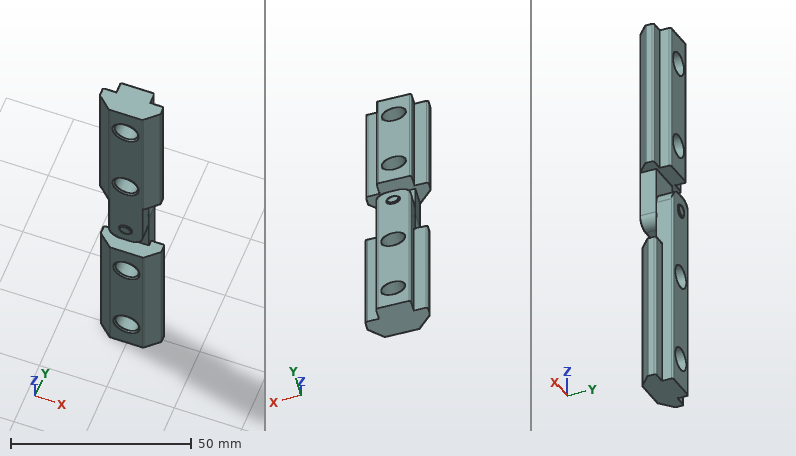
import cadquery as cq

OVERALL_LENGTH = 115.4
BAR_LENGTH = 45.2
END_REACH = OVERALL_LENGTH / 2
BAR_START = END_REACH - BAR_LENGTH

FLANGE_WIDTH = 18.0
STEM_WIDTH = 10.0
NOSE_WIDTH = 9.9
SECTION_DEPTH = 9.5
FLANK_DEPTH = 3.6
SHOULDER_DEPTH = 6.1
EDGE_RADIUS = 0.6

KNUCKLE_THICKNESS = 5.1
KNUCKLE_REACH = 5.1
KNUCKLE_RADIUS = 3.6
UPPER_FRONT_Y = -KNUCKLE_THICKNESS
LOWER_FRONT_Y = KNUCKLE_THICKNESS - SECTION_DEPTH

HOLE_RADIUS = 3.5
HOLE_CHAMFER = 0.5
HOLE_SPACING = 27.0
HOLE_END_MARGIN = 9.1
OUTER_HOLE_REACH = END_REACH - HOLE_END_MARGIN
HOLE_REACHES = (OUTER_HOLE_REACH - HOLE_SPACING, OUTER_HOLE_REACH)

PIN_LENGTH = 10.8
PIN_RADIUS = 2.0
PIN_CHAMFER = PIN_LENGTH / 2 - KNUCKLE_THICKNESS


def y_cylinder(radius, y_start, length, z):
    """Cylinder along +Y, centred on X = 0 at height z."""
    return cq.Workplane(cq.Solid.makeCylinder(radius, length, cq.Vector(0, y_start, z), cq.Vector(0, 1, 0)))


def section_bar(front_y, z_start):
    """Leaf section with its front face at front_y, from z_start up to the leaf end."""
    height = END_REACH - z_start
    edge_x = FLANGE_WIDTH / 2
    shoulder_y = front_y + SHOULDER_DEPTH
    right_half = [
        (NOSE_WIDTH / 2, front_y),
        (edge_x, front_y + FLANK_DEPTH),
        (edge_x, shoulder_y),
    ]
    left_half = [(-x, y) for x, y in reversed(right_half)]
    flanges = (
        cq.Workplane("XY")
        .polyline(right_half + left_half)
        .close()
        .extrude(height)
        .edges("|Z")
        .fillet(EDGE_RADIUS)
        .translate((0, 0, z_start))
    )
    stem = (
        cq.Workplane("XY")
        .box(STEM_WIDTH, SECTION_DEPTH - FLANK_DEPTH, height, centered=(True, False, False))
        .edges("|Z and >Y")
        .fillet(EDGE_RADIUS)
        .translate((0, front_y + FLANK_DEPTH, z_start))
    )
    return flanges.union(stem)


def knuckle(front_y, inner_y):
    """Half-thickness tongue, rounded at its end, starting at inner_y on its front side."""
    tongue_height = BAR_START + KNUCKLE_REACH
    envelope = (
        cq.Workplane("XY")
        .box(STEM_WIDTH, KNUCKLE_THICKNESS, tongue_height, centered=(True, False, False))
        .edges("|Y and <Z")
        .fillet(KNUCKLE_RADIUS)
        .translate((0, inner_y, -KNUCKLE_REACH))
    )
    return section_bar(front_y, -KNUCKLE_REACH).intersect(envelope)


def screw_hole(front_y, z):
    """Through hole with a chamfered mouth on the front face."""
    mouth = cq.Workplane(
        cq.Solid.makeCone(
            HOLE_RADIUS + HOLE_CHAMFER,
            HOLE_RADIUS,
            HOLE_CHAMFER,
            cq.Vector(0, front_y, z),
            cq.Vector(0, 1, 0),
        )
    )
    return y_cylinder(HOLE_RADIUS, front_y, SECTION_DEPTH, z).union(mouth)


def leaf(front_y, knuckle_y):
    """Leaf extending along +Z with its knuckle around the hinge axis."""
    body = section_bar(front_y, BAR_START).union(knuckle(front_y, knuckle_y))
    for reach in HOLE_REACHES:
        body = body.cut(screw_hole(front_y, reach))
    return body.cut(y_cylinder(PIN_RADIUS, -PIN_LENGTH / 2, PIN_LENGTH, 0))


def hinge_pin():
    """Pin through both knuckles with chamfered ends."""
    return y_cylinder(PIN_RADIUS, -PIN_LENGTH / 2, PIN_LENGTH, 0).edges().chamfer(PIN_CHAMFER)


upper_leaf = leaf(UPPER_FRONT_Y, -KNUCKLE_THICKNESS)
lower_leaf = leaf(LOWER_FRONT_Y, 0).mirror("XY")
pin = hinge_pin()

result = cq.Compound.makeCompound([upper_leaf.val(), lower_leaf.val(), pin.val()])